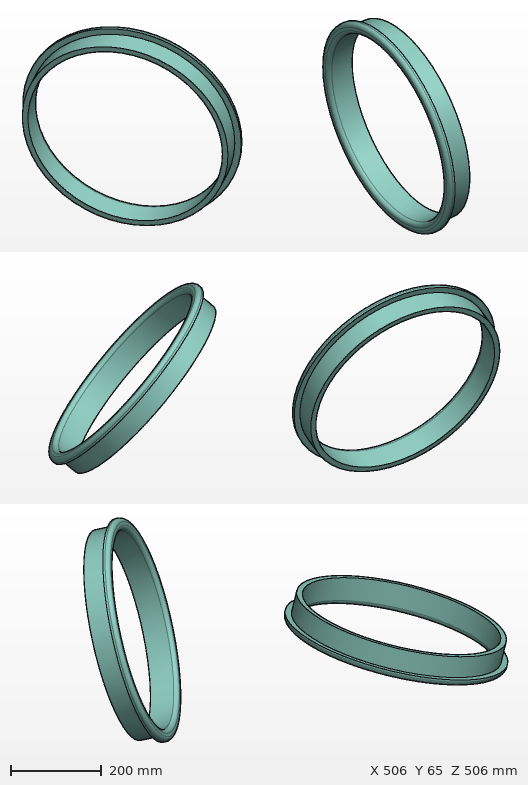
import cadquery as cq

flange_diameter = 506.0
sleeve_diameter = 476.5
bore_diameter = 450.5
total_depth = 65.0
flange_thickness = 15.0
edge_radius = 10.0

front_y = -total_depth / 2
back_y = total_depth / 2


def disc(diameter, start_y, depth):
    """Solid cylinder from start_y towards +Y."""
    return cq.Workplane("XZ", origin=(0, start_y, 0)).circle(diameter / 2).extrude(-depth)


flange = disc(flange_diameter, back_y - flange_thickness, flange_thickness)

sleeve = disc(sleeve_diameter, front_y, total_depth)
bore = disc(bore_diameter, front_y, total_depth)

ring = flange.union(sleeve).cut(bore)

result = ring.faces(">Y").edges().fillet(edge_radius)